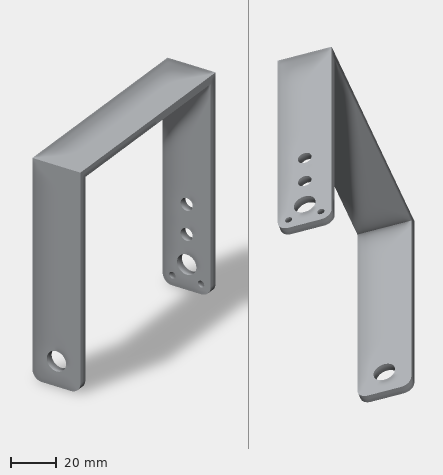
import cadquery as cq

width = 25.0
span = 109.2
height = 110.0
thickness = 4.0
corner_radius = 5.0

pivot_diameter = 10.0
pivot_height = 12.5
adjust_diameter = 6.3
pin_diameter = 3.3
hole_pitch = 15.0
adjust_count = 2
pin_offset = hole_pitch / 2

far_leg_center = (span - thickness) / 2


def leg_drill(x, z, diameter, center_y, length):
    """Cylinder along Y, centred at the given point."""
    return (
        cq.Workplane("XZ", origin=(x, center_y, z))
        .circle(diameter / 2)
        .extrude(length / 2, both=True)
    )


def bracket_body():
    """Flat top with two legs, rounded at the lower leg corners."""
    block = cq.Workplane("XY").box(width, span, height, centered=(True, True, False))
    block = block.edges("|Y and <Z").fillet(corner_radius)
    opening = cq.Workplane("XY").box(
        width, span - 2 * thickness, height - thickness, centered=(True, True, False)
    )
    return block.cut(opening)


result = bracket_body()

result = result.cut(leg_drill(0, pivot_height, pivot_diameter, 0, 2 * span))

for step in range(1, adjust_count + 1):
    hole_height = pivot_height + step * hole_pitch
    result = result.cut(leg_drill(0, hole_height, adjust_diameter, far_leg_center, 2 * thickness))

for side in (-1, 1):
    result = result.cut(
        leg_drill(
            side * pin_offset, pivot_height - pin_offset, pin_diameter, far_leg_center, 2 * thickness
        )
    )